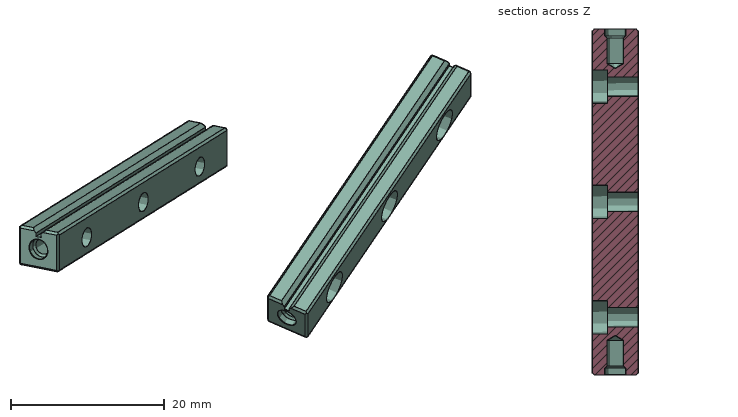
import cadquery as cq
width = 6.0
length = 45.0
height = 5.5
edge_chamfer = 0.3

groove_mouth_width = 1.85
slot_width = 0.7
groove_depth = 1.05
v_depth = (groove_mouth_width - slot_width) / 2

cross_hole_diameter = 2.5
counterbore_diameter = 4.3
counterbore_depth = 2.0
cross_hole_pitch = length / 3
cross_hole_z = -0.25

end_mouth_diameter = 2.7
rim_chamfer = 0.05
end_mouth_depth = 0.9
end_bore_diameter = 2.1
end_bore_depth = 4.5
drill_point_length = 0.65


def chamfered_prism(plane, side_a, side_b, depth):
    prism = cq.Workplane(plane).rect(side_a, side_b).extrude(depth / 2, both=True)
    return prism.edges(cq.selectors.ParallelDirSelector(prism.plane.zDir)).chamfer(edge_chamfer)


def make_block():
    along_x = chamfered_prism("YZ", length, height, width)
    along_y = chamfered_prism("XZ", width, height, length)
    along_z = chamfered_prism("XY", width, length, height)
    return along_x.intersect(along_y).intersect(along_z)


def make_groove():
    top = height / 2
    mouth = groove_mouth_width / 2
    slot = slot_width / 2
    outline = [
        (-mouth, top),
        (-slot, top - v_depth),
        (-slot, top - groove_depth),
        (slot, top - groove_depth),
        (slot, top - v_depth),
        (mouth, top),
    ]
    return cq.Workplane("XZ").polyline(outline).close().extrude(length / 2, both=True)


def make_cross_hole(y):
    start = cq.Workplane("YZ", origin=(-width / 2, y, cross_hole_z))
    bore = start.circle(cross_hole_diameter / 2).extrude(width)
    counterbore = start.circle(counterbore_diameter / 2).extrude(counterbore_depth)
    return bore.union(counterbore)


def make_front_end_hole():
    face = -length / 2
    mouth_radius = end_mouth_diameter / 2
    bore_radius = end_bore_diameter / 2
    mouth_end = face + end_mouth_depth
    bore_end = face + end_bore_depth
    outline = [
        (0, face),
        (mouth_radius + rim_chamfer, face),
        (mouth_radius, face + rim_chamfer),
        (mouth_radius, mouth_end),
        (bore_radius, mouth_end + mouth_radius - bore_radius),
        (bore_radius, bore_end),
        (0, bore_end + drill_point_length),
    ]
    return cq.Workplane("XY").polyline(outline).close().revolve(360, (0, 0, 0), (0, 1, 0))


result = make_block().cut(make_groove())

for step in (-1, 0, 1):
    result = result.cut(make_cross_hole(step * cross_hole_pitch))

front_end_hole = make_front_end_hole()
result = result.cut(front_end_hole).cut(front_end_hole.mirror("XZ"))